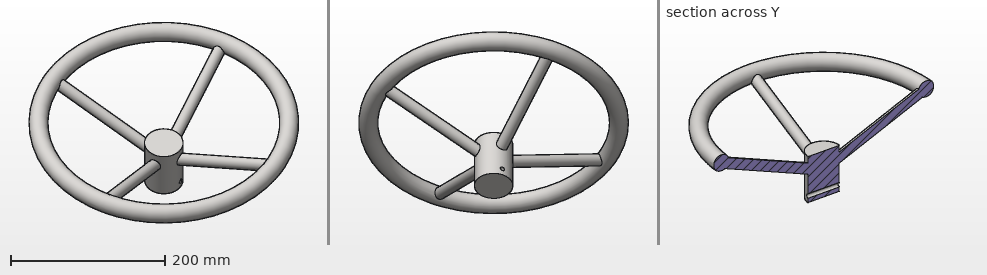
import cadquery as cq

wheel_diameter = 350.0
wheel_height = 120.0
rim_section_diameter = 25.0
hub_diameter = 50.0
hub_height = 70.0
spoke_diameter = 16.0
spoke_count = 4
spoke_hub_height = 51.5
pin_hole_diameter = 6.0
pin_hole_height = 10.0

hub_radius = hub_diameter / 2
rim_section_radius = rim_section_diameter / 2
rim_center_radius = wheel_diameter / 2 - rim_section_radius
rim_center_height = wheel_height - rim_section_radius
spoke_slope = (rim_center_height - spoke_hub_height) / (rim_center_radius - hub_radius)
spoke_axis_height = spoke_hub_height - spoke_slope * hub_radius


def make_rim():
    """Round-section ring about the wheel axis, its seam turned midway between two spokes."""
    return (
        cq.Workplane("XZ")
        .center(rim_center_radius, rim_center_height)
        .circle(rim_section_radius)
        .revolve(360, (-rim_center_radius, 0), (-rim_center_radius, 1))
        .rotate((0, 0, 0), (0, 0, 1), 180 / spoke_count)
    )


def make_hub():
    """Plain cylinder standing on Z = 0."""
    return cq.Workplane("XY").circle(hub_radius).extrude(hub_height)


def make_spoke(angle):
    """Round bar rising from the wheel axis to the centre of the rim section."""
    start = cq.Vector(0, 0, spoke_axis_height)
    end = cq.Vector(rim_center_radius, 0, rim_center_height)
    run = end - start
    bar = cq.Solid.makeCylinder(spoke_diameter / 2, run.Length, start, run)
    return cq.Workplane(bar).rotate((0, 0, 0), (0, 0, 1), angle)


def make_pin_hole():
    """Cutter for the cross hole running along X through the hub."""
    return (
        cq.Workplane("YZ")
        .center(0, pin_hole_height)
        .circle(pin_hole_diameter / 2)
        .extrude(hub_radius, both=True)
    )


result = make_hub()
for index in range(spoke_count):
    result = result.union(make_spoke(index * 360 / spoke_count))
result = result.cut(make_pin_hole())
result = result.union(make_rim(), clean=False).solids()